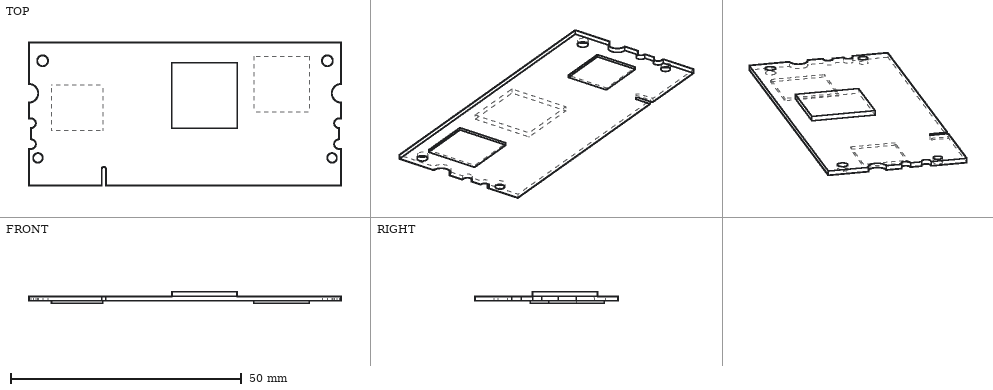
import cadquery as cq

board_length = 67.6
board_width = 31.0
board_thickness = 1.0

upper_hole_diameter = 2.3
upper_hole_inset = 3.0
upper_hole_y = 27.05
lower_hole_diameter = 2.0
lower_hole_inset = 1.95
lower_hole_y = 6.0

latch_notch_diameter = 4.0
latch_notch_y = 20.0
small_notch_diameter = 2.0
small_notch_depth = 1.5
small_notch_upper_y = 13.5
small_notch_lower_y = 9.0
edge_relief_depth = 0.4

key_slot_x = 16.2
key_slot_width = 0.9
key_slot_length = 4.05

top_chip_side = 14.1
top_chip_x = 30.95
top_chip_y = 12.45
top_chip_height = 1.0
bottom_chip_height = 0.55
left_chip_x = 4.9
left_chip_length = 11.15
left_chip_y = 11.95
left_chip_width = 9.95
right_chip_x = 48.7
right_chip_side = 12.0
right_chip_back_y = 28.05


def block(x, y, z, length, width, height):
    """Box placed by its lowest corner."""
    return cq.Workplane("XY").box(length, width, height, centered=False).translate((x, y, z))


def round_cut(x, y, diameter):
    """Cylinder through the board thickness."""
    return cq.Workplane("XY").center(x, y).circle(diameter / 2).extrude(board_thickness)


def small_notch(y):
    """Round-ended notch running in from the left edge."""
    radius = small_notch_diameter / 2
    center_x = small_notch_depth - radius
    throat = block(0, y - radius, 0, center_x, small_notch_diameter, board_thickness)
    return throat.union(round_cut(center_x, y, small_notch_diameter))


def left_edge_cuts():
    """Holes and notches at the left end of the board."""
    relief_width = small_notch_upper_y - small_notch_lower_y
    cuts = block(0, small_notch_lower_y, 0, edge_relief_depth, relief_width, board_thickness)
    cuts = cuts.union(small_notch(small_notch_upper_y))
    cuts = cuts.union(small_notch(small_notch_lower_y))
    cuts = cuts.union(round_cut(0, latch_notch_y, latch_notch_diameter))
    cuts = cuts.union(round_cut(upper_hole_inset, upper_hole_y, upper_hole_diameter))
    return cuts.union(round_cut(lower_hole_inset, lower_hole_y, lower_hole_diameter))


def key_slot():
    """Slot from the front edge with a round inner end."""
    radius = key_slot_width / 2
    straight_length = key_slot_length - radius
    slot = block(key_slot_x - radius, 0, 0, key_slot_width, straight_length, board_thickness)
    return slot.union(round_cut(key_slot_x, straight_length, key_slot_width))


end_cuts = left_edge_cuts()
board = block(0, 0, 0, board_length, board_width, board_thickness)
board = board.cut(end_cuts)
board = board.cut(end_cuts.mirror("YZ").translate((board_length, 0, 0)))
board = board.cut(key_slot())

result = board.union(
    block(top_chip_x, top_chip_y, board_thickness, top_chip_side, top_chip_side, top_chip_height)
)
result = result.union(
    block(left_chip_x, left_chip_y, -bottom_chip_height, left_chip_length, left_chip_width, bottom_chip_height)
)
right_chip_y = right_chip_back_y - right_chip_side
result = result.union(
    block(right_chip_x, right_chip_y, -bottom_chip_height, right_chip_side, right_chip_side, bottom_chip_height)
)